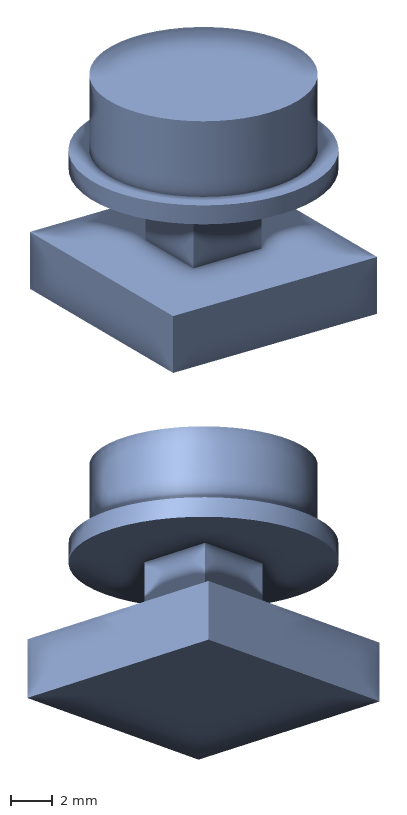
import cadquery as cq

total_height = 12.0
base_side = 12.0
base_height = 3.0
post_side = 4.0
post_height = 4.0
flange_diameter = 13.0
flange_height = 1.0
cap_diameter = 11.0

cap_height = total_height - base_height - post_height - flange_height

base = cq.Workplane("XY").rect(base_side, base_side).extrude(base_height)

result = (
    base.faces(">Z").workplane()
    .rect(post_side, post_side).extrude(post_height)
    .faces(">Z").workplane()
    .circle(flange_diameter / 2).extrude(flange_height)
    .faces(">Z").workplane()
    .circle(cap_diameter / 2).extrude(cap_height)
)